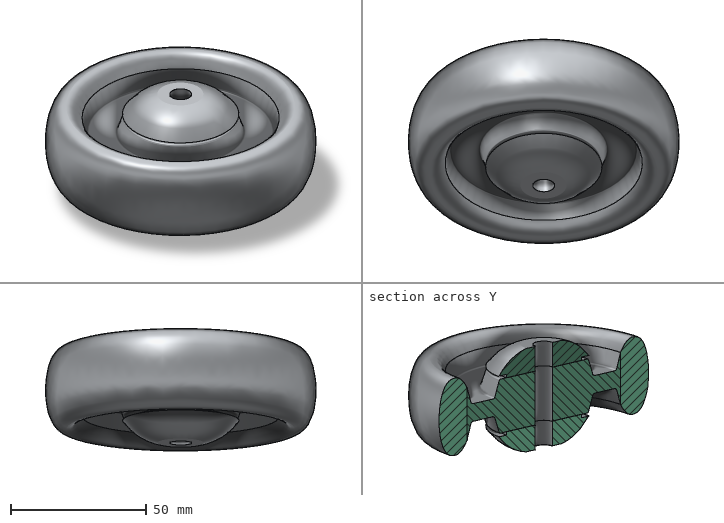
import cadquery as cq
import math


BORE_RADIUS = 4.0
SEAT_RADIUS = 36.4
SEAT_HEIGHT = 10.0

TIRE_RADIUS = 50.0
TIRE_HALF_WIDTH = 15.0
LIP_RADIUS = 42.2
SHOULDER_POLE_RADIUS = 47.8
TREAD_POLE_HEIGHT = 10.5
FLANK_POLES = [(37.9, 13.0), (40.2, TIRE_HALF_WIDTH)]

WEB_HALF_THICKNESS = 3.5
RIM_WALL_FOOT_RADIUS = 34.4
HUB_FOOT_RADIUS = 23.6
HUB_TOP_RADIUS = 21.2
HUB_HALF_LENGTH = 10.5
RIM_FILLET = 1.0

CAP_HALF_SPAN = 20.0
CAP_FLAT_RADIUS = 8.5
CAP_RADIUS = 21.5
CAP_EDGE_HEIGHT = 11.6
DOME_MIDDLE = (15.0, 17.5)
NECK_RADIUS = 18.0


def mirrored(point):
    """The same point below the middle plane."""
    return (point[0], -point[1])


def revolve_about_z(profile):
    """Turn a closed (radius, height) profile fully around the Z axis."""
    return profile.close().revolve(360, (0, 0, 0), (0, 1, 0))


def make_tire():
    """Hollow ring with a round tread and curved flanks down to the rim."""
    tread_pole_radius = (16 * TIRE_RADIUS - LIP_RADIUS - 5 * SHOULDER_POLE_RADIUS) / 10
    upper_tread = [
        (LIP_RADIUS, TIRE_HALF_WIDTH),
        (SHOULDER_POLE_RADIUS, TIRE_HALF_WIDTH),
        (tread_pole_radius, TREAD_POLE_HEIGHT),
    ]
    lower_tread = [mirrored(pole) for pole in reversed(upper_tread)]
    upper_flank = [(SEAT_RADIUS, SEAT_HEIGHT), *FLANK_POLES, upper_tread[0]]
    lower_flank = [mirrored(pole) for pole in reversed(upper_flank)]
    profile = (
        cq.Workplane("XZ")
        .moveTo(*upper_flank[0])
        .bezier(upper_flank)
        .bezier(upper_tread + lower_tread)
        .bezier(lower_flank)
    )
    return revolve_about_z(profile)


def make_rim():
    """Web with a sloped hub and a sloped outer wall, all corners at web and hub face rounded."""
    profile = (
        cq.Workplane("XZ")
        .moveTo(BORE_RADIUS, -HUB_HALF_LENGTH)
        .lineTo(BORE_RADIUS, HUB_HALF_LENGTH)
        .lineTo(HUB_TOP_RADIUS, HUB_HALF_LENGTH)
        .lineTo(HUB_FOOT_RADIUS, WEB_HALF_THICKNESS)
        .lineTo(RIM_WALL_FOOT_RADIUS, WEB_HALF_THICKNESS)
        .lineTo(SEAT_RADIUS, SEAT_HEIGHT)
        .lineTo(SEAT_RADIUS, -SEAT_HEIGHT)
        .lineTo(RIM_WALL_FOOT_RADIUS, -WEB_HALF_THICKNESS)
        .lineTo(HUB_FOOT_RADIUS, -WEB_HALF_THICKNESS)
        .lineTo(HUB_TOP_RADIUS, -HUB_HALF_LENGTH)
    )
    rim = revolve_about_z(profile)
    rounded_radii = (HUB_TOP_RADIUS, HUB_FOOT_RADIUS, RIM_WALL_FOOT_RADIUS)
    rounded_edges = rim.edges("%CIRCLE").filter(
        lambda edge: any(math.isclose(edge.radius(), radius) for radius in rounded_radii)
    )
    return rounded_edges.fillet(RIM_FILLET)


def make_cap(side):
    """Domed cap on the upper (side = 1) or lower (side = -1) hub face."""
    middle_radius, middle_height = DOME_MIDDLE
    profile = (
        cq.Workplane("XZ")
        .moveTo(BORE_RADIUS, side * HUB_HALF_LENGTH)
        .lineTo(NECK_RADIUS, side * HUB_HALF_LENGTH)
        .lineTo(NECK_RADIUS, side * CAP_EDGE_HEIGHT)
        .lineTo(CAP_RADIUS, side * CAP_EDGE_HEIGHT)
        .threePointArc(
            (middle_radius, side * middle_height),
            (CAP_FLAT_RADIUS, side * CAP_HALF_SPAN),
        )
        .lineTo(BORE_RADIUS, side * CAP_HALF_SPAN)
    )
    return revolve_about_z(profile)


tire = make_tire()
rim = make_rim()
caps = [make_cap(side) for side in (1, -1)]

result = cq.Compound.makeCompound([tire.val(), rim.val(), *[cap.val() for cap in caps]])